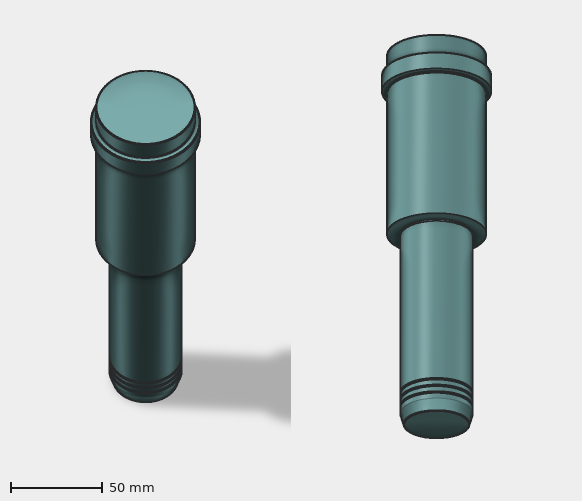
import cadquery as cq
import math

total_height = 223.0
pin_length = 115.0
head_height = 11.0
collar_height = 10.0
neck_height = 1.0

body_diameter = 54.5
collar_diameter = 60.0
pin_diameter = 40.0

collar_chamfer = 0.55
head_chamfer = 0.5
body_chamfer = 0.5
tip_chamfer = 0.5
neck_depth = 0.5

pin_root_height = 1.3
pin_root_depth = 0.5

taper_height = 7.0
taper_angle = 15.0

groove_count = 3
groove_pitch = 4.0
groove_width = 1.1
groove_depth = 0.2
lowest_groove_z = 10.5


def cylinder(diameter, bottom_z, top_z):
    """Solid round section centred on the Z axis."""
    return cq.Workplane("XY").workplane(offset=bottom_z).circle(diameter / 2).extrude(top_z - bottom_z)


def make_pin():
    """Pin with a tapered tip and a slight inward taper where it meets the body."""
    radius = pin_diameter / 2
    tip_radius = radius - taper_height * math.tan(math.radians(taper_angle))
    root_radius = radius - pin_root_depth
    root_z = pin_length - pin_root_height
    profile = [
        (0, 0),
        (tip_radius - tip_chamfer, 0),
        (tip_radius, tip_chamfer),
        (radius, taper_height),
        (radius, root_z),
        (root_radius, pin_length),
        (0, pin_length),
    ]
    return cq.Workplane("XZ").polyline(profile).close().revolve(360, (0, 0, 0), (0, 1, 0))


def make_groove(center_z):
    """Ring cutter with a V section, open at the pin surface."""
    radius = pin_diameter / 2
    profile = [
        (radius, center_z - groove_width / 2),
        (radius - groove_depth, center_z),
        (radius, center_z + groove_width / 2),
    ]
    return cq.Workplane("XZ").polyline(profile).close().revolve(360, (0, 0, 0), (0, 1, 0))


def make_body():
    """Body, collar and head, with a relief neck on each side of the collar."""
    head_bottom = total_height - head_height
    collar_top = head_bottom - neck_height
    collar_bottom = collar_top - collar_height
    body_top = collar_bottom - neck_height
    neck_diameter = body_diameter - 2 * neck_depth

    body = cylinder(body_diameter, pin_length, body_top).faces(">Z").chamfer(body_chamfer)
    neck = cylinder(neck_diameter, body_top, head_bottom)
    collar = cylinder(collar_diameter, collar_bottom, collar_top).faces(">Z").chamfer(collar_chamfer)
    head = cylinder(body_diameter, head_bottom, total_height).faces(">Z").chamfer(head_chamfer)
    return body.union(neck).union(collar).union(head)


result = make_pin().union(make_body())
for index in range(groove_count):
    result = result.cut(make_groove(lowest_groove_z + index * groove_pitch))